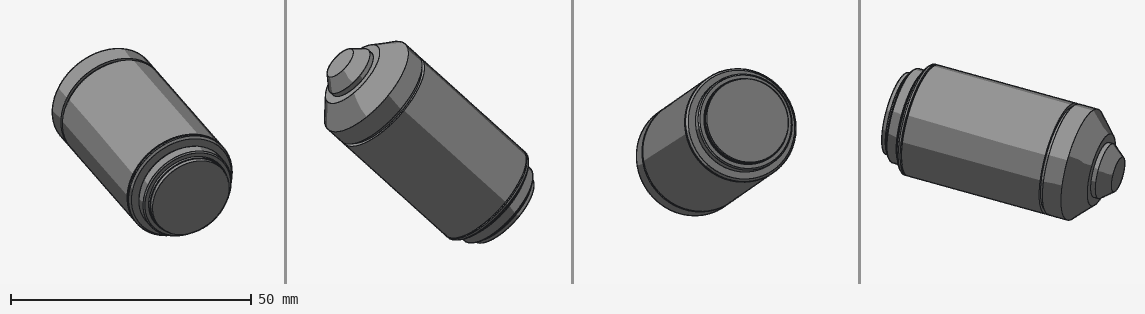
import cadquery as cq

length = 49.55
body_radius = 12.0

tip_radius = 3.75
nose_radius = 5.95
nose_cone_end = 2.75
nose_end = 3.75

shoulder_radius = 7.8
shoulder_end = nose_end + body_radius - shoulder_radius

groove_depth = 0.75
front_groove_start = 12.15
front_groove_width = 0.75
rear_groove_start = 43.8
rear_groove_width = 0.3
body_end = 45.0
body_chamfer = 0.45

neck_radius = 9.65
neck_end = 45.75
flange_radius = 10.2
flange_end = 48.05
flange_chamfer = 0.3
collar_radius = 9.05
collar_end = 48.65
end_radius = 8.85


def cylinder(start, end, radius):
    """Solid cylinder along X from start to end."""
    return cq.Workplane("YZ", origin=(start, 0, 0)).circle(radius).extrude(end - start)


def cone(start, end, start_radius, end_radius):
    """Solid truncated cone along X."""
    profile = [(start, 0), (start, start_radius), (end, end_radius), (end, 0)]
    return cq.Workplane("XY").polyline(profile).close().revolve(360, (0, 0, 0), (1, 0, 0))


def ring_groove(start, width):
    """Ring of material to cut from the body surface."""
    end = start + width
    return cylinder(start, end, body_radius).cut(
        cylinder(start, end, body_radius - groove_depth)
    )


nose = cone(0, nose_cone_end, tip_radius, nose_radius).union(
    cylinder(nose_cone_end, nose_end, nose_radius)
)
shoulder = cone(nose_end, shoulder_end, shoulder_radius, body_radius)

body = cylinder(shoulder_end, body_end, body_radius).faces(">X").chamfer(body_chamfer)
body = body.cut(ring_groove(front_groove_start, front_groove_width))
body = body.cut(ring_groove(rear_groove_start, rear_groove_width))

neck = cylinder(body_end, neck_end, neck_radius)
flange = cylinder(neck_end, flange_end, flange_radius).faces(">X").chamfer(flange_chamfer)
collar = cylinder(flange_end, collar_end, collar_radius)
end_step = cylinder(collar_end, length, end_radius)

result = nose
for section in (shoulder, body, neck, flange, collar, end_step):
    result = result.union(section)